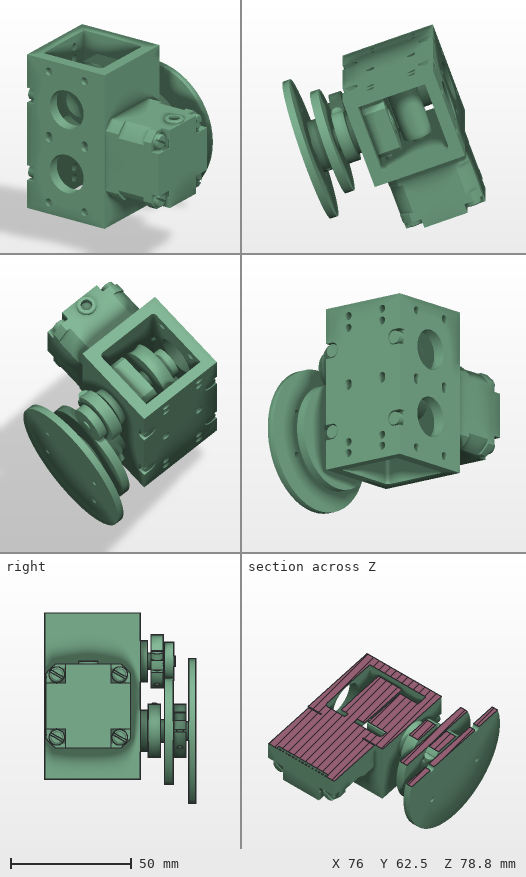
import cadquery as cq


shaft_spacing = 28.8
frame_height = 68.8
frame_depth = 39.6
frame_left = -20.0
frame_right = 19.1
plate_thickness = 4.5
wall = 5.05
inner_corner_radius = 1.6
frame_mid_z = shaft_spacing / 2
frame_bottom = frame_mid_z - frame_height / 2
plate_inner = frame_left + plate_thickness
wall_inner_x = frame_right - wall
back_inner_y = frame_depth - wall
shaft_heights = (0.0, shaft_spacing)

mount_hole_dia = 3.4
slot_length = 4.55
mount_hole_pitch = 18.0
mount_hole_rise = 29.35
plate_holes_mid_y = 18.55
plate_inner_hole_heights = (-10.25, 38.7)
bearing_bore_dia = 17.1

plate_screw_inset = 3.15
plate_screw_pitch = 34.8
plate_screw_mid_z = 13.25
plate_screw_head_radius = 2.75
plate_screw_head_height = 3.1
plate_screw_slot_radius = 3.3
plate_screw_slot_depth = 3.35

motor_size = 34.9
motor_y = 18.05
motor_z = 10.3
motor_end = 46.0
motor_gap = 0.2
pilot_radius = 11.0
front_cap_end = 25.7
stack_end = 38.35
rear_cap_end = 42.15
cap_corner_radius = 22.0
stack_corner_radius = 21.0
corner_pocket = 8.0
motor_screw_pitch = 26.0
motor_screw_radius = 1.65
motor_screw_tip = 12.5
motor_screw_chamfer = 0.4
motor_head_radius = 3.2
motor_head_height = 2.4
motor_head_rounding = 0.8
motor_head_slot_width = 0.9
motor_head_slot_depth = 1.2
motor_head_slot_angle = 150
rear_recess_half = 13.1
rear_recess_start = 44.6
rear_cover_thickness = 0.5
motor_shaft_radius = 2.7

outlet_x = 41.55
outlet_radius = 4.1
outlet_bore_radius = 2.4
outlet_height = 1.25
outlet_chamfer = 0.4
outlet_bore_depth = 3.0

worm_left = -12.9
worm_right = 12.1
worm_thread_end = 5.0
worm_radius = 6.4
worm_hub_radius = 6.3
wheel_radius = 13.25
wheel_throat_radius = 12.6
wheel_width = 5.9
wheel_hub_radius = 6.55
wheel_hub_front = 9.1
wheel_back_hub_radius = 3.95

block_half = 11.05
block_chamfer = 2.1
block_front = 24.9
block_boss_end = 42.6
bearing_recess_radius = 6.4
bearing_ring_radius = 5.1
bearing_step = 0.2

shaft_radius = 2.15
upper_neck_radius = 3.5
lower_neck_radius = 4.75
disc_neck_radius = 3.95
upper_shaft_end = 54.05
gear_front = 49.5
gear_back = 53.2
large_gear_radius = 22.2
small_gear_radius = 7.9
small_gear_front = 49.5
small_gear_back = 53.45
disc_radius = 30.0
disc_front = 59.5
disc_back = 62.5
disc_hole_radius = 1.25
disc_hole_offset_x = 14.8
disc_hole_offset_z = 9.0

collar_radius = 11.05
collar_width = 5.1
collar_slit = 1.0
clamp_offset = 7.8
clamp_seat = 4.4
clamp_head_top = 7.4
clamp_head_radius = 2.5
clamp_thread_radius = 1.5
clamp_tip = 7.1
lower_collar_front = 42.8
upper_collar_front = 43.95
lower_slit_angle = 135
upper_slit_angle = -22
disc_slit_angle = 0
disc_collar_front = 53.4


def rod_y(radius, y_start, y_end, z=0.0, x=0.0):
    """Cylinder parallel to Y."""
    return cq.Workplane("XZ", origin=(x, y_start, z)).circle(radius).extrude(y_start - y_end)


def rod_x(radius, x_start, x_end, y, z):
    """Cylinder parallel to X."""
    return cq.Workplane("YZ", origin=(x_start, y, z)).circle(radius).extrude(x_end - x_start)


def box(x_range, y_range, z_range):
    """Box between two limits on each axis."""
    size = [high - low for low, high in (x_range, y_range, z_range)]
    corner = (x_range[0], y_range[0], z_range[0])
    return cq.Workplane("XY").box(*size, centered=False).translate(corner)


def make_frame():
    z_range = (frame_bottom, frame_bottom + frame_height)
    frame = box((frame_left, frame_right), (0, frame_depth), z_range)
    inside = box((plate_inner, wall_inner_x), (wall, back_inner_y), z_range)
    inside = inside.edges("|Z and >X").fillet(inner_corner_radius)
    frame = frame.cut(inside)
    for z in shaft_heights:
        frame = frame.cut(rod_y(bearing_bore_dia / 2, 0, wall, z))
    return frame


def cut_front_holes(frame):
    round_points = [
        (side * mount_hole_pitch / 2, frame_mid_z + rise)
        for side in (-1, 1)
        for rise in (-mount_hole_rise, mount_hole_rise)
    ]
    slot_points = [(side * mount_hole_pitch / 2, frame_mid_z) for side in (-1, 1)]
    sketch = cq.Workplane("XZ")
    holes = sketch.pushPoints(round_points).circle(mount_hole_dia / 2).extrude(-wall)
    slots = sketch.pushPoints(slot_points).slot2D(slot_length, mount_hole_dia, 90).extrude(-wall)
    return frame.cut(holes).cut(slots)


def cut_plate_holes(frame):
    outer_heights = (frame_mid_z - mount_hole_rise, frame_mid_z + mount_hole_rise)
    columns = [plate_holes_mid_y + side * mount_hole_pitch / 2 for side in (-1, 1)]
    round_points = [(y, z) for y in columns for z in outer_heights + plate_inner_hole_heights]
    slot_points = [(y, frame_mid_z) for y in columns]
    sketch = cq.Workplane("YZ", origin=(frame_left, 0, 0))
    holes = sketch.pushPoints(round_points).circle(mount_hole_dia / 2).extrude(plate_thickness)
    slots = sketch.pushPoints(slot_points).slot2D(slot_length, mount_hole_dia, 90)
    return frame.cut(holes).cut(slots.extrude(plate_thickness))


def fit_plate_screws(frame):
    """Open-sided seats in the plate edges, each holding a cylindrical screw head."""
    seat_floor = frame_left + plate_screw_slot_depth
    x_range = (frame_left, seat_floor)
    for side in (-1, 1):
        z = plate_screw_mid_z + side * plate_screw_pitch / 2
        z_range = (z - plate_screw_slot_radius, z + plate_screw_slot_radius)
        for edge_y, y in ((0, plate_screw_inset), (frame_depth, frame_depth - plate_screw_inset)):
            seat = rod_x(plate_screw_slot_radius, frame_left, seat_floor, y, z)
            seat = seat.union(box(x_range, (min(edge_y, y), max(edge_y, y)), z_range))
            head_top = seat_floor - plate_screw_head_height
            head = rod_x(plate_screw_head_radius, head_top, seat_floor, y, z)
            frame = frame.cut(seat).union(head)
    return frame


def motor_section(x_start, x_end, corner_radius):
    """Square motor section whose corners are turned to a round."""
    square = (
        cq.Workplane("YZ", origin=(x_start, motor_y, motor_z))
        .rect(motor_size, motor_size)
        .extrude(x_end - x_start)
    )
    return square.intersect(rod_x(corner_radius, x_start, x_end, motor_y, motor_z))


def driver_slot(y, z):
    """Cutter for the straight screwdriver slot of a motor screw head."""
    head_top = rear_cap_end + motor_head_height
    return (
        cq.Workplane("YZ", origin=(head_top, y, z))
        .transformed(rotate=(0, 0, motor_head_slot_angle))
        .rect(2 * motor_head_radius, motor_head_slot_width)
        .extrude(-motor_head_slot_depth)
    )


def make_rear_recess():
    """Flat cavity under the thin rear cover, opening into the four corner pockets."""
    side = 2 * rear_recess_half
    depth = motor_end - rear_cover_thickness - rear_recess_start
    return cq.Workplane("YZ", origin=(rear_recess_start, motor_y, motor_z)).rect(side, side).extrude(depth)


def make_motor():
    front = frame_right + motor_gap
    motor = rod_x(pilot_radius, wall_inner_x, front, motor_y, motor_z)
    motor = motor.union(motor_section(front, front_cap_end, cap_corner_radius))
    motor = motor.union(motor_section(front_cap_end, stack_end, stack_corner_radius))
    motor = motor.union(motor_section(stack_end, motor_end, cap_corner_radius))
    corners = [(y, z) for y in (-1, 1) for z in (-1, 1)]
    pocket_centre = (motor_size - corner_pocket) / 2
    for y_side, z_side in corners:
        pocket = (
            cq.Workplane("YZ", origin=(rear_cap_end, motor_y, motor_z))
            .center(y_side * pocket_centre, z_side * pocket_centre)
            .rect(corner_pocket, corner_pocket)
            .extrude(motor_end - rear_cap_end)
        )
        y = motor_y + y_side * motor_screw_pitch / 2
        z = motor_z + z_side * motor_screw_pitch / 2
        head = rod_x(motor_head_radius, rear_cap_end, rear_cap_end + motor_head_height, y, z)
        head = head.faces(">X").edges().fillet(motor_head_rounding).cut(driver_slot(y, z))
        screw = rod_x(motor_screw_radius, motor_screw_tip, front_cap_end, y, z)
        screw = screw.faces("<X").edges().chamfer(motor_screw_chamfer)
        motor = motor.cut(pocket).union(head).union(screw)
    return motor.cut(make_rear_recess())


def add_cable_outlet(motor):
    top = motor_z + motor_size / 2
    sketch = cq.Workplane("XY", origin=(outlet_x, motor_y, top))
    rim = sketch.circle(outlet_radius).extrude(outlet_height).faces(">Z").edges().chamfer(outlet_chamfer)
    bore = sketch.workplane(offset=outlet_height).circle(outlet_bore_radius).extrude(-outlet_bore_depth)
    return motor.union(rim).cut(bore)


def make_worm():
    worm = rod_x(worm_radius, worm_left, worm_thread_end, motor_y, motor_z)
    worm = worm.union(rod_x(worm_hub_radius, worm_thread_end, worm_right, motor_y, motor_z))
    return worm.union(rod_x(motor_shaft_radius, worm_right, frame_right, motor_y, motor_z))


def make_wheel():
    """Worm wheel with a throated rim and a hub, on the upper shaft."""
    y_front = motor_y - wheel_width / 2
    y_back = motor_y + wheel_width / 2
    rim = (
        cq.Workplane("XY")
        .moveTo(0, y_front)
        .lineTo(wheel_radius, y_front)
        .threePointArc((wheel_throat_radius, motor_y), (wheel_radius, y_back))
        .lineTo(0, y_back)
        .close()
        .revolve(360, (0, 0, 0), (0, 1, 0))
        .translate((0, 0, shaft_spacing))
    )
    hub = rod_y(wheel_hub_radius, wheel_hub_front, motor_y, shaft_spacing)
    hub = hub.cut(rod_y(shaft_radius, wheel_hub_front, wheel_hub_front + bearing_step, shaft_spacing))
    back_hub = rod_y(wheel_back_hub_radius, motor_y, block_front, shaft_spacing)
    return rim.union(hub).union(back_hub)


def make_bearing_block(z):
    """Chamfered block inside the frame with a round boss through the back wall."""
    block = (
        cq.Workplane("XZ", origin=(0, block_front, z))
        .rect(2 * block_half, 2 * block_half)
        .extrude(block_front - back_inner_y)
        .edges("|Y")
        .chamfer(block_chamfer)
    )
    block = block.union(rod_y(bearing_bore_dia / 2, back_inner_y, block_boss_end, z))
    block = block.cut(rod_y(bearing_recess_radius, block_front, block_front + bearing_step, z))
    ring_front = block_front - bearing_step
    block = block.union(rod_y(bearing_ring_radius, ring_front, back_inner_y, z))
    return block.union(rod_y(shaft_radius, ring_front - bearing_step, block_boss_end, z))


def make_collar(y_front, z, slit_angle):
    """Clamp collar split along slit_angle, with its screw square to the slit."""
    y_range = (0, collar_width)
    mid_y = collar_width / 2
    collar = rod_y(collar_radius, 0, collar_width)
    slit = box((0, collar_radius), y_range, (-collar_slit / 2, collar_slit / 2))
    seat = box((clamp_offset, collar_radius), y_range, (clamp_seat, collar_radius))
    sketch = cq.Workplane("XY", origin=(clamp_offset, mid_y, 0))
    head = sketch.workplane(offset=clamp_seat).circle(clamp_head_radius)
    head = head.extrude(clamp_head_top - clamp_seat)
    thread = sketch.workplane(offset=-clamp_tip).circle(clamp_thread_radius)
    thread = thread.extrude(clamp_tip + clamp_seat)
    collar = collar.cut(slit).cut(seat).union(head).union(thread)
    collar = collar.rotate((0, 0, 0), (0, 1, 0), -slit_angle)
    return collar.translate((0, y_front, z))


def make_upper_output():
    z = shaft_spacing
    output = rod_y(upper_neck_radius, block_boss_end, small_gear_front, z)
    output = output.union(rod_y(small_gear_radius, small_gear_front, small_gear_back, z))
    output = output.union(rod_y(shaft_radius, small_gear_back, upper_shaft_end, z))
    return output.union(make_collar(upper_collar_front, z, upper_slit_angle))


def make_lower_output():
    output = rod_y(lower_neck_radius, block_boss_end, gear_front)
    output = output.union(rod_y(large_gear_radius, gear_front, gear_back))
    output = output.union(rod_y(disc_neck_radius, gear_back, disc_front))
    output = output.union(make_collar(lower_collar_front, 0, lower_slit_angle))
    return output.union(make_collar(disc_collar_front, 0, disc_slit_angle))


def make_disc():
    disc = rod_y(disc_radius, disc_front, disc_back)
    for x in (-disc_hole_offset_x, disc_hole_offset_x):
        for z in (-disc_hole_offset_z, disc_hole_offset_z):
            disc = disc.cut(rod_y(disc_hole_radius, disc_front, disc_back, z, x))
    return disc


result = make_frame()
result = cut_front_holes(result)
result = cut_plate_holes(result)
result = fit_plate_screws(result)
result = result.union(add_cable_outlet(make_motor()))
for shaft_z in shaft_heights:
    result = result.union(make_bearing_block(shaft_z))
result = result.union(make_worm()).union(make_wheel())
result = result.union(make_upper_output()).union(make_lower_output())
result = result.union(make_disc())